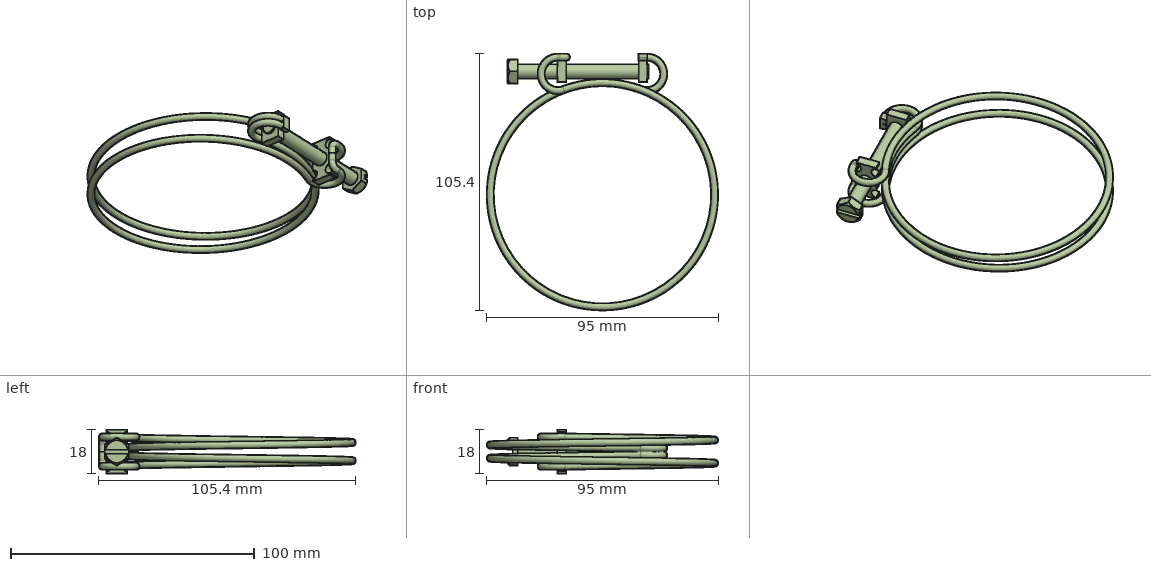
import cadquery as cq
import math


ring_outer_diameter = 95.0
overall_length = 105.4
wire_diameter = 3.0
hook_radius = 6.9
bridge_strand_z = 6.0
wire_radius = wire_diameter / 2
paired_strand_z = wire_radius
ring_radius = ring_outer_diameter / 2 - wire_radius

hook_end_y = overall_length - ring_outer_diameter / 2 - wire_radius
hook_center_y = hook_end_y - hook_radius
hook_center_x = math.sqrt((ring_radius + hook_radius) ** 2 - hook_center_y**2)
tangent_x = hook_center_x * ring_radius / (ring_radius + hook_radius)
tangent_y = hook_center_y * ring_radius / (ring_radius + hook_radius)
tangent_angle = math.degrees(math.atan2(tangent_y, tangent_x))

coil_angle = 360 + 180 - 2 * tangent_angle
coil_steps = 40

bridge_bend_radius = 2.7
bridge_x = -14.8

bolt_head_x = -39.0
bolt_end_x = 19.1
shank_diameter = 6.0
head_sides = 6
head_across_flats = 9.9
head_length = 4.3
head_face_diameter = 9.3
slot_width = 1.7
slot_depth = 2.2
head_corner_diameter = head_across_flats / math.cos(math.pi / head_sides)
head_chamfer = (head_corner_diameter - head_face_diameter) / 2

plate_width = 8.7
plate_top_y = hook_end_y - wire_radius
bolt_y = plate_top_y - plate_width / 2
bridge_plate_x = -18.4
bridge_plate_thickness = 3.7
bridge_plate_length = 18.0
notch_radius = 2.1
nut_x = 14.9
nut_thickness = 3.5
nut_length = 12.0

clip_length = 3.6


def planar_arc(start, middle, end, z):
    points = [cq.Vector(x, y, z) for x, y in (start, middle, end)]
    return cq.Edge.makeThreePointArc(*points)


def hook_arc(side, z):
    """Arc from the hook top, round the outside, to the ring; side is +1 or -1 along X."""
    top = (side * hook_center_x, hook_end_y)
    outside = (side * (hook_center_x + hook_radius), hook_center_y)
    ring_tangent = (side * tangent_x, tangent_y)
    if side > 0:
        return planar_arc(top, outside, ring_tangent, z)
    return planar_arc(ring_tangent, outside, top, z)


def ring_coil():
    """Coil that rises evenly and levels out at both ends to run smoothly into the flat hook arcs."""
    rise_slope = (bridge_strand_z - paired_strand_z) / math.radians(coil_angle)
    points = []
    tangents = []
    for step in range(coil_steps + 1):
        fraction = step / coil_steps
        angle = math.radians(tangent_angle + fraction * coil_angle)
        x = ring_radius * math.cos(angle)
        y = ring_radius * math.sin(angle)
        z = paired_strand_z + fraction * (bridge_strand_z - paired_strand_z)
        is_end = step in (0, coil_steps)
        points.append(cq.Vector(x, y, z))
        tangents.append(cq.Vector(-y, x, 0 if is_end else rise_slope))
    return cq.Edge.makeSpline(points, tangents=tangents)


def bridge_edges():
    """Straight lead, quarter bend and straight bar down to the plane z = 0."""
    bend_start_x = bridge_x - bridge_bend_radius
    bend_end_z = bridge_strand_z - bridge_bend_radius
    hook_end = cq.Vector(-hook_center_x, hook_end_y, bridge_strand_z)
    bend_start = cq.Vector(bend_start_x, hook_end_y, bridge_strand_z)
    bend_end = cq.Vector(bridge_x, hook_end_y, bend_end_z)
    mid_plane_end = cq.Vector(bridge_x, hook_end_y, 0)
    return [
        cq.Edge.makeLine(hook_end, bend_start),
        cq.Edge.makeTangentArc(bend_start, cq.Vector(1, 0, 0), bend_end),
        cq.Edge.makeLine(bend_end, mid_plane_end),
    ]


def make_upper_strand():
    edges = [hook_arc(1, paired_strand_z), ring_coil(), hook_arc(-1, bridge_strand_z), *bridge_edges()]
    path = cq.Wire.assembleEdges(edges)
    profile = cq.Workplane("YZ", origin=(hook_center_x, hook_end_y, paired_strand_z)).circle(wire_radius)
    return profile.sweep(cq.Workplane(path))


def along_bolt(x):
    """Workplane square to the bolt axis, with local axes along Y and Z."""
    return cq.Workplane("YZ", origin=(x, bolt_y, 0))


def make_bolt():
    head = along_bolt(bolt_head_x).polygon(head_sides, head_corner_diameter).extrude(head_length)
    quarter_turn = 90
    head = head.rotate((0, bolt_y, 0), (1, bolt_y, 0), quarter_turn)
    envelope = along_bolt(bolt_head_x).circle(head_corner_diameter / 2).extrude(head_length)
    envelope = envelope.faces("<X").chamfer(head_chamfer)
    slot = along_bolt(bolt_head_x).rect(head_corner_diameter, slot_width).extrude(slot_depth)
    head = head.intersect(envelope).cut(slot)
    shank_start_x = bolt_head_x + head_length
    shank = along_bolt(shank_start_x).circle(shank_diameter / 2).extrude(bolt_end_x - shank_start_x)
    return head.union(shank)


def make_plate(start_x, thickness, length):
    """Rectangular plate with a hole that fits the bolt shank."""
    return along_bolt(start_x).rect(plate_width, length).circle(shank_diameter / 2).extrude(thickness)


def make_bridge_plate():
    plate = make_plate(bridge_plate_x, bridge_plate_thickness, bridge_plate_length)
    notch_centers = [
        (side * plate_width / 2, level * bridge_strand_z) for side in (-1, 1) for level in (-1, 1)
    ]
    notches = (
        along_bolt(bridge_plate_x).pushPoints(notch_centers).circle(notch_radius)
        .extrude(bridge_plate_thickness)
    )
    return plate.cut(notches)


def make_end_clip():
    """Caps both paired strands: a round lobe on each, squared off on the outer side."""
    clip_plane = cq.Workplane("YZ", origin=(hook_center_x - clip_length, hook_end_y, 0))
    clip = clip_plane.center(wire_radius / 2, 0).rect(wire_radius, 2 * wire_diameter).extrude(clip_length)
    for level in (-1, 1):
        lobe_plane = clip_plane.center(0, level * paired_strand_z)
        clip = clip.union(lobe_plane.circle(wire_radius).extrude(clip_length))
    return clip


upper_strand = make_upper_strand()
strands = [upper_strand, upper_strand.mirror("XY")]
bolt = make_bolt()
bridge_plate = make_bridge_plate()
nut = make_plate(nut_x, nut_thickness, nut_length)
end_clip = make_end_clip()

result = cq.Compound.makeCompound(
    [strand.val() for strand in strands] + [bolt.val(), bridge_plate.val(), nut.val(), end_clip.val()]
)